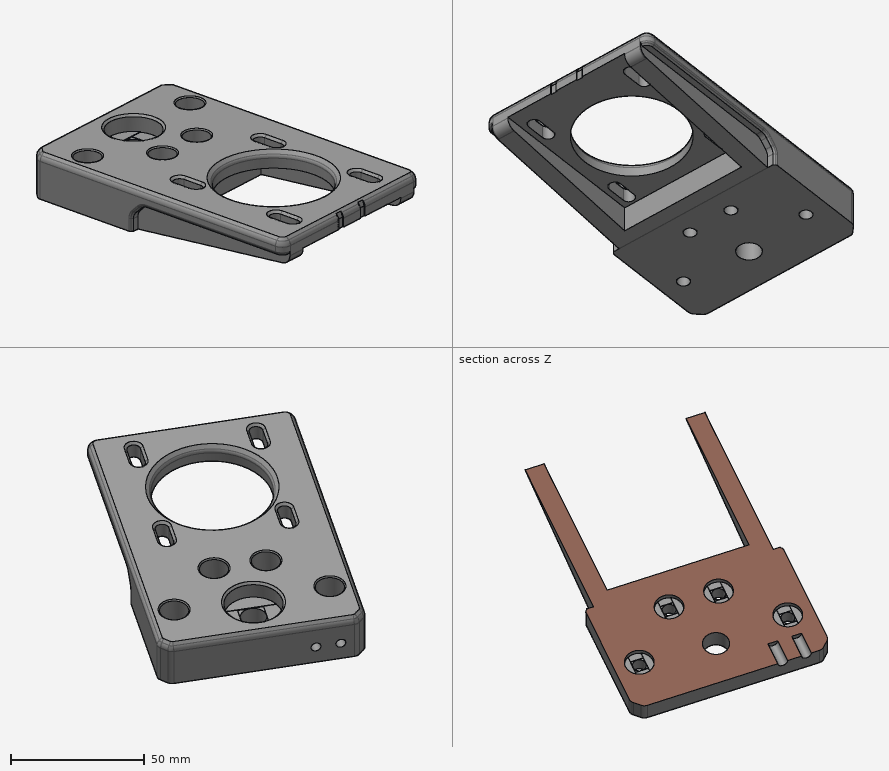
import cadquery as cq
import math

LENGTH = 124.21
WIDTH = 80.0
HEIGHT = 19.0
FLANGE_THICKNESS = 7.0
FLANGE_Z = HEIGHT - FLANGE_THICKNESS

REAR_CORNER_CHAMFER = 4.0
FRONT_CORNER_RADIUS = 4.0
TOP_CHAMFER = 2.0
BEVEL_ANGLE = 45.0
BLEND_RADIUS = 3.0

EDGE_TOLERANCE = 0.1
MARGIN = 10.0

TAPER_START_X = 50.0
TIP_Z = 8.0
TIP_RADIUS = 4.0
RIB_SETBACK = 3.6
RIB_THICKNESS = 7.8
RECESS_CHAMFER = 5.0
RECESS_RADIUS = 4.0
RECESS_EDGE_CHAMFER = 1.0
RECESS_EDGE_RADIUS = 1.0
POCKET_START_X = 56.0

BORE_X = 86.0
BORE_DIAMETER = 46.1
BORE_CHAMFER = 2.0
BORE_BLEND_RADIUS = 2.0
SLOT_CENTER_X = 87.3
SLOT_PITCH = 47.14
SLOT_WIDTH = 5.2
SLOT_TRAVEL = 8.0
SLOT_CHAMFER = 1.0

BRIDGE_STEP = 0.2
SCREW_POINTS = [(20, 30), (20, -30), (40, 10), (40, -10)]
SCREW_DIAMETER = 5.2
SCREW_HEAD_DIAMETER = 11.0
SCREW_HEAD_CHAMFER = 0.5
SCREW_FLOOR_Z = 6.0
PIVOT_X = 17.5
PIVOT_DIAMETER = 10.0
PIVOT_HEAD_DIAMETER = 22.2
PIVOT_HEAD_CHAMFER = 0.9
PIVOT_FLOOR_Z = FLANGE_Z

REAR_HOLE_DIAMETER = 3.8
REAR_HOLE_DEPTH = 10.0
REAR_HOLE_Z = 7.5
REAR_HOLE_YS = (-20.0, -29.6)

NOTCH_YS = (6.35, -6.35)
NOTCH_WIDTH = 2.7
NOTCH_DEPTH = 0.45
NOTCH_TOP_INSET = 1.3
NOTCH_SLOPE_DROP = 2.2


def edge_zone(x_range, y_range, z_range, whole_edge=False):
    """Selector for edges in a box; whole_edge asks for the full edge inside, not just its center."""
    ranges = (x_range, y_range, z_range)
    low = tuple(min(span) - EDGE_TOLERANCE for span in ranges)
    high = tuple(max(span) + EDGE_TOLERANCE for span in ranges)
    return cq.selectors.BoxSelector(low, high, boundingbox=whole_edge)


def make_block():
    """Rectangular block with softened upright corners and a beveled, blended top rim."""
    block = cq.Workplane("XY").box(LENGTH, WIDTH, HEIGHT, centered=(False, True, False))
    block = block.edges("|Z and <X").chamfer(REAR_CORNER_CHAMFER)
    full_width = (-WIDTH / 2, WIDTH / 2)
    rear_corners = edge_zone((0, REAR_CORNER_CHAMFER), full_width, (0, HEIGHT))
    block = block.edges("|Z").edges(rear_corners).fillet(BLEND_RADIUS)
    block = block.edges("|Z and >X").fillet(FRONT_CORNER_RADIUS)
    block = block.faces(">Z").chamfer(TOP_CHAMFER)
    shoulder_z = HEIGHT - TOP_CHAMFER
    shoulder = edge_zone((0, LENGTH), full_width, (shoulder_z, shoulder_z))
    return block.edges(shoulder).fillet(BLEND_RADIUS)


def make_side_recess():
    """Cutter that sets the rib on the -Y side back below the flange."""
    recess = (
        cq.Workplane("XZ")
        .moveTo(TAPER_START_X, -MARGIN)
        .lineTo(LENGTH + MARGIN, -MARGIN)
        .lineTo(LENGTH + MARGIN, FLANGE_Z)
        .lineTo(TAPER_START_X + RECESS_CHAMFER, FLANGE_Z)
        .lineTo(TAPER_START_X, FLANGE_Z - RECESS_CHAMFER)
        .close()
        .extrude(RIB_SETBACK + MARGIN)
    )
    corner = edge_zone(
        (TAPER_START_X, TAPER_START_X + RECESS_CHAMFER),
        (-RIB_SETBACK - MARGIN, 0),
        (FLANGE_Z - RECESS_CHAMFER, FLANGE_Z),
    )
    recess = recess.edges("|Y").edges(corner).fillet(RECESS_RADIUS)
    return recess.translate((0, RIB_SETBACK - WIDTH / 2, 0))


def cut_side_recesses(body):
    recess = make_side_recess()
    return body.cut(recess).cut(recess.mirror("XZ"))


def recess_rim(side, offset):
    """Edges where the recess meets one side wall and front corner, moved outward by offset."""
    wall_y = side * WIDTH / 2
    rim_z = FLANGE_Z + offset
    along_wall = edge_zone(
        (TAPER_START_X - offset, LENGTH), (wall_y, wall_y), (0, rim_z), whole_edge=True
    )
    around_corner = edge_zone(
        (LENGTH - FRONT_CORNER_RADIUS, LENGTH),
        (wall_y, wall_y - side * FRONT_CORNER_RADIUS),
        (rim_z, rim_z),
    )
    return along_wall + around_corner


def soften_recess_edges(body):
    """Bevel the outer edge of each recess, then blend the bevel into the side wall."""
    for side in (-1, 1):
        body = body.edges(recess_rim(side, 0)).chamfer(RECESS_EDGE_CHAMFER)
        body = body.edges(recess_rim(side, RECESS_EDGE_CHAMFER)).fillet(RECESS_EDGE_RADIUS)
    return body


def cut_motor_pocket(body):
    """Open the underside between the two ribs."""
    pocket_width = WIDTH - 2 * (RIB_SETBACK + RIB_THICKNESS)
    pocket = cq.Workplane("XY").box(
        LENGTH, pocket_width, FLANGE_Z, centered=(False, True, False)
    )
    return body.cut(pocket.translate((POCKET_START_X, 0, 0)))


def cut_taper(body):
    """Slope the underside up toward the front end and round the rib tips."""
    wedge = (
        cq.Workplane("XZ")
        .moveTo(TAPER_START_X, 0)
        .lineTo(LENGTH, TIP_Z)
        .lineTo(LENGTH, 0)
        .close()
        .extrude(WIDTH / 2, both=True)
    )
    body = body.cut(wedge)
    tips = edge_zone((LENGTH, LENGTH), (-WIDTH / 2, WIDTH / 2), (TIP_Z, TIP_Z))
    return body.edges(tips).fillet(TIP_RADIUS)


def make_countersink(radius, bevel, z):
    """Cutter for an equal-leg bevel around a hole that opens at height z."""
    cone = cq.Solid.makeCone(radius, radius + bevel, bevel, pnt=cq.Vector(0, 0, z - bevel))
    return cq.Workplane("XY").add(cone)


def cut_bore(body):
    """Motor opening whose beveled rim blends into the wall."""
    radius = BORE_DIAMETER / 2
    bevel_angle = math.radians(BEVEL_ANGLE)
    tangent_length = BORE_BLEND_RADIUS * math.tan(bevel_angle / 2)
    corner_z = HEIGHT - BORE_CHAMFER
    blend_start_z = corner_z - tangent_length
    blend_shift = tangent_length * math.cos(bevel_angle)
    blend_middle = (
        radius + BORE_BLEND_RADIUS * (1 - math.cos(bevel_angle / 2)),
        blend_start_z + BORE_BLEND_RADIUS * math.sin(bevel_angle / 2),
    )
    bore = (
        cq.Workplane("XZ")
        .lineTo(radius, 0)
        .lineTo(radius, blend_start_z)
        .threePointArc(blend_middle, (radius + blend_shift, corner_z + blend_shift))
        .lineTo(radius + BORE_CHAMFER, HEIGHT)
        .lineTo(0, HEIGHT)
        .close()
        .revolve(360, (0, 0, 0), (0, 1, 0))
    )
    return body.cut(bore.translate((BORE_X, 0, 0)))


def cut_motor_slots(body):
    slot = cq.Workplane("XY").slot2D(SLOT_TRAVEL + SLOT_WIDTH, SLOT_WIDTH).extrude(HEIGHT)
    rim_width = SLOT_WIDTH + 2 * SLOT_CHAMFER
    rim = (
        cq.Workplane("XY", origin=(0, 0, HEIGHT))
        .slot2D(SLOT_TRAVEL + rim_width, rim_width)
        .extrude(-SLOT_CHAMFER, taper=BEVEL_ANGLE)
    )
    slot = slot.union(rim)
    for x_sign in (-1, 1):
        for y_sign in (-1, 1):
            x = SLOT_CENTER_X + x_sign * SLOT_PITCH / 2
            y = y_sign * SLOT_PITCH / 2
            body = body.cut(slot.translate((x, y, 0)))
    return body


def make_bridged_hole(diameter, head_diameter, head_chamfer, floor_z):
    """Counterbored hole whose floor steps down to a slot, then a square, then the round hole."""
    hole = cq.Workplane("XY").circle(diameter / 2).extrude(HEIGHT)
    head_depth = HEIGHT - floor_z
    head = cq.Workplane("XY", origin=(0, 0, floor_z)).circle(head_diameter / 2).extrude(head_depth)
    slot = (
        cq.Workplane("XY", origin=(0, 0, floor_z - BRIDGE_STEP))
        .rect(head_diameter, diameter)
        .extrude(BRIDGE_STEP)
        .intersect(head.translate((0, 0, -BRIDGE_STEP)))
    )
    square = (
        cq.Workplane("XY", origin=(0, 0, floor_z - 2 * BRIDGE_STEP))
        .rect(diameter, diameter)
        .extrude(2 * BRIDGE_STEP)
    )
    rim = make_countersink(head_diameter / 2, head_chamfer, HEIGHT)
    return hole.union(head).union(slot).union(square).union(rim)


def cut_counterbored_holes(body):
    screw_hole = make_bridged_hole(
        SCREW_DIAMETER, SCREW_HEAD_DIAMETER, SCREW_HEAD_CHAMFER, SCREW_FLOOR_Z
    )
    for x, y in SCREW_POINTS:
        body = body.cut(screw_hole.translate((x, y, 0)))
    pivot_hole = make_bridged_hole(
        PIVOT_DIAMETER, PIVOT_HEAD_DIAMETER, PIVOT_HEAD_CHAMFER, PIVOT_FLOOR_Z
    )
    pivot_hole = pivot_hole.rotate((0, 0, 0), (0, 0, 1), 90)
    return body.cut(pivot_hole.translate((PIVOT_X, 0, 0)))


def cut_rear_holes(body):
    for y in REAR_HOLE_YS:
        hole = cq.Workplane("YZ").circle(REAR_HOLE_DIAMETER / 2).extrude(REAR_HOLE_DEPTH)
        body = body.cut(hole.translate((0, y, REAR_HOLE_Z)))
    return body


def cut_end_notches(body):
    """Shallow upright notches in the front end with a sloped upper lead-in."""
    top_z = HEIGHT - TOP_CHAMFER + NOTCH_TOP_INSET
    notch = (
        cq.Workplane("XZ")
        .moveTo(LENGTH - NOTCH_DEPTH, 0)
        .lineTo(LENGTH, 0)
        .lineTo(LENGTH, top_z)
        .lineTo(LENGTH - NOTCH_TOP_INSET, top_z)
        .lineTo(LENGTH - NOTCH_DEPTH, top_z - NOTCH_SLOPE_DROP)
        .close()
        .extrude(NOTCH_WIDTH / 2, both=True)
    )
    for y in NOTCH_YS:
        body = body.cut(notch.translate((0, y, 0)))
    return body


body = make_block()
body = cut_side_recesses(body)
body = soften_recess_edges(body)
body = cut_motor_pocket(body)
body = cut_taper(body)
body = cut_bore(body)
body = cut_motor_slots(body)
body = cut_counterbored_holes(body)
body = cut_rear_holes(body)
result = cut_end_notches(body)